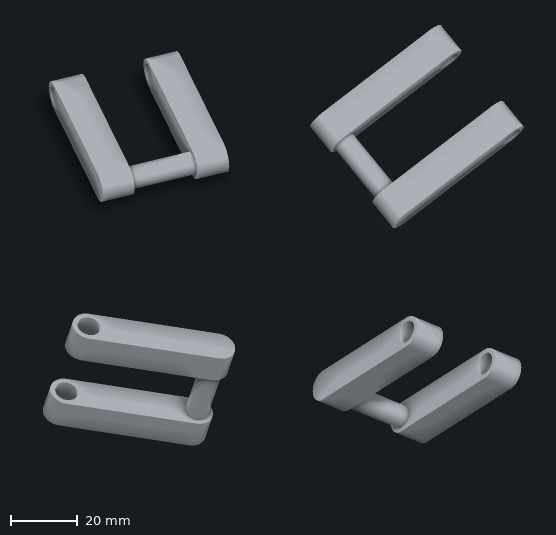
import cadquery as cq

length = 50.0
width = 40.0
height = 10.0
arm_thickness = 10.0
pin_diameter = 7.0

end_offset = (length - height) / 2
arm_offset = (width - arm_thickness) / 2
pin_length = width - arm_thickness


def make_arm(y_centre):
    """Round-ended link with a through hole at its -X end."""
    return (
        cq.Workplane("XZ", origin=(0, y_centre, 0))
        .slot2D(length, height)
        .extrude(arm_thickness / 2, both=True)
        .faces("<Y")
        .workplane(origin=(-end_offset, 0, 0))
        .hole(pin_diameter)
    )


def make_pin():
    """Round cross pin joining the arms at their +X ends."""
    return (
        cq.Workplane("XZ", origin=(end_offset, 0, 0))
        .circle(pin_diameter / 2)
        .extrude(pin_length / 2, both=True)
    )


result = make_pin()
for y_centre in (-arm_offset, arm_offset):
    result = result.union(make_arm(y_centre))